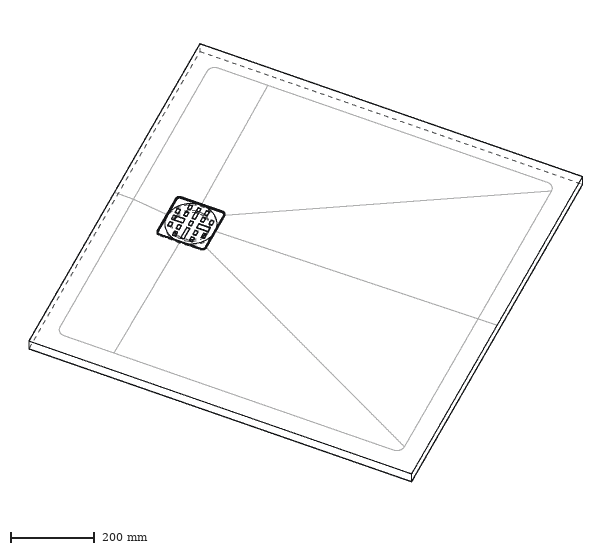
import cadquery as cq
import math

SIDE = 1000.0
HEIGHT = 30.0
HALF = SIDE / 2

RIM_WIDTH = 50.0
RIM_FALL = 1.0
FLOOR_FALL = 14.0
FLOOR_HALF = HALF - RIM_WIDTH
FLOOR_CORNER_RADIUS = 20.0
FLOOR_EDGE_Z = HEIGHT - RIM_FALL
DRAIN_EDGE_Z = FLOOR_EDGE_Z - FLOOR_FALL

DRAIN_X = -300.0
RECESS_HALF = 64.0
RECESS_CORNER_RADIUS = 10.0
GRATE_DROP = 1.0
GRATE_THICKNESS = 2.0
RECESS_DEPTH = GRATE_DROP + GRATE_THICKNESS
RECESS_FLOOR_Z = DRAIN_EDGE_Z - RECESS_DEPTH
SUMP_DIAMETER = 124.0
SUMP_DEPTH = 5.0
OUTLET_DIAMETER = 90.0

GRATE_GAP = 3.0
GRATE_SIDE = 2 * (RECESS_HALF - GRATE_GAP)
GRATE_CORNER_RADIUS = RECESS_CORNER_RADIUS - GRATE_GAP
SLOT_PITCH = 22.0
SLOT_WIDTH = 8.0
SLOT_LENGTH = 13.0


def line(start, end):
    return cq.Edge.makeLine(cq.Vector(*start), cq.Vector(*end))


def rounded_corner(center_x, half, radius, x_side, y_side, z):
    """Arc of one corner of a rounded square: its end on the X-facing side, its end on the
    Y-facing side, and the arc edge between them."""
    corner_x = center_x + x_side * half
    corner_y = y_side * half
    to_middle = radius * (1 - math.sqrt(0.5))
    on_x_side = (corner_x, corner_y - y_side * radius, z)
    middle = (corner_x - x_side * to_middle, corner_y - y_side * to_middle, z)
    on_y_side = (corner_x - x_side * radius, corner_y, z)
    arc = cq.Edge.makeThreePointArc(cq.Vector(*on_x_side), cq.Vector(*middle), cq.Vector(*on_y_side))
    return on_x_side, on_y_side, arc


def floor_corner(x_side, y_side):
    return rounded_corner(0, FLOOR_HALF, FLOOR_CORNER_RADIUS, x_side, y_side, FLOOR_EDGE_Z)


def recess_corner(x_side, y_side):
    return rounded_corner(DRAIN_X, RECESS_HALF, RECESS_CORNER_RADIUS, x_side, y_side, DRAIN_EDGE_Z)


def space_above(edges):
    """Solid that stands on one smooth patch spanned by a closed loop of edges."""
    patch = cq.Face.makeNSidedSurface(edges, [])
    return cq.Solid.extrudeLinear(patch, cq.Vector(0, 0, HEIGHT))


def rim_edges(y_side):
    """Half of the rim on one side of the X axis."""
    left_x, left_y, left_arc = floor_corner(-1, y_side)
    right_x, right_y, right_arc = floor_corner(1, y_side)
    outer = [
        (-HALF, 0, HEIGHT),
        (-HALF, y_side * HALF, HEIGHT),
        (HALF, y_side * HALF, HEIGHT),
        (HALF, 0, HEIGHT),
    ]
    left_end = (-FLOOR_HALF, 0, FLOOR_EDGE_Z)
    right_end = (FLOOR_HALF, 0, FLOOR_EDGE_Z)
    return [
        *[line(start, end) for start, end in zip(outer, outer[1:])],
        line(outer[-1], right_end),
        line(right_end, right_x),
        right_arc,
        line(right_y, left_y),
        left_arc,
        line(left_x, left_end),
        line(left_end, outer[0]),
    ]


def left_floor_edges(y_side):
    """Short floor between the left rim and the line across the tray through the drain."""
    floor_x, floor_y, floor_arc = floor_corner(-1, y_side)
    recess_x, recess_y, recess_arc = recess_corner(-1, y_side)
    floor_start = (-FLOOR_HALF, 0, FLOOR_EDGE_Z)
    floor_end = (DRAIN_X, y_side * FLOOR_HALF, FLOOR_EDGE_Z)
    recess_start = (DRAIN_X - RECESS_HALF, 0, DRAIN_EDGE_Z)
    recess_end = (DRAIN_X, y_side * RECESS_HALF, DRAIN_EDGE_Z)
    return [
        line(floor_start, floor_x),
        floor_arc,
        line(floor_y, floor_end),
        line(floor_end, recess_end),
        line(recess_end, recess_y),
        recess_arc,
        line(recess_x, recess_start),
        line(recess_start, floor_start),
    ]


def long_floor_edges(y_side):
    """Floor from the line through the drain round to the crease at the right rim."""
    floor_x, floor_y, floor_arc = floor_corner(1, y_side)
    recess_x, recess_y, recess_arc = recess_corner(1, y_side)
    floor_start = (DRAIN_X, y_side * FLOOR_HALF, FLOOR_EDGE_Z)
    recess_start = (DRAIN_X, y_side * RECESS_HALF, DRAIN_EDGE_Z)
    return [
        line(floor_start, floor_y),
        floor_arc,
        line(floor_x, recess_x),
        recess_arc,
        line(recess_y, recess_start),
        line(recess_start, floor_start),
    ]


def right_floor_edges(y_side):
    """Flat floor between the right rim and the drain."""
    floor_x, _, _ = floor_corner(1, y_side)
    recess_x, _, _ = recess_corner(1, y_side)
    floor_start = (FLOOR_HALF, 0, FLOOR_EDGE_Z)
    recess_start = (DRAIN_X + RECESS_HALF, 0, DRAIN_EDGE_Z)
    corners = [floor_start, floor_x, recess_x, recess_start, floor_start]
    return [line(start, end) for start, end in zip(corners, corners[1:])]


def rounded_plate(side, radius, bottom_z, thickness):
    return (
        cq.Workplane("XY", origin=(DRAIN_X, 0, bottom_z))
        .rect(side, side)
        .extrude(thickness)
        .edges("|Z")
        .fillet(radius)
    )


def round_hole(diameter, bottom_z):
    """Cutter at the drain centre that is open upward from its flat bottom."""
    return cq.Workplane("XY", origin=(DRAIN_X, 0, bottom_z)).circle(diameter / 2).extrude(HEIGHT)


def make_tray():
    tray = cq.Workplane("XY").box(SIDE, SIDE, HEIGHT, centered=(True, True, False))
    recess = rounded_plate(2 * RECESS_HALF, RECESS_CORNER_RADIUS, RECESS_FLOOR_Z, HEIGHT)
    sump = round_hole(SUMP_DIAMETER, RECESS_FLOOR_Z - SUMP_DEPTH)
    outlet = round_hole(OUTLET_DIAMETER, 0)
    tray = tray.cut(recess).cut(sump).cut(outlet)
    for patch_edges in (rim_edges, left_floor_edges, long_floor_edges, right_floor_edges):
        for y_side in (1, -1):
            tray = tray.cut(cq.Workplane(space_above(patch_edges(y_side))), clean=False)
    return tray


def grate_opening(columns, rows):
    """Rectangle cut through the grate, from the first to the last of the given columns and rows
    of the slot grid, which is counted from the drain centre."""
    column_span = abs(columns[1] - columns[0])
    row_span = abs(rows[1] - rows[0])
    center_x = DRAIN_X + sum(columns) / 2 * SLOT_PITCH
    center_y = sum(rows) / 2 * SLOT_PITCH
    return (
        cq.Workplane("XY", origin=(center_x, center_y, RECESS_FLOOR_Z))
        .rect(SLOT_WIDTH + column_span * SLOT_PITCH, SLOT_LENGTH + row_span * SLOT_PITCH)
        .extrude(GRATE_THICKNESS)
    )


def make_grate():
    grate = rounded_plate(GRATE_SIDE, GRATE_CORNER_RADIUS, RECESS_FLOOR_Z, GRATE_THICKNESS)
    grate = grate.cut(grate_opening((0, 0), (0, 0)))
    for side in (1, -1):
        double = (side, 2 * side)
        grate = grate.cut(grate_opening((0, 0), double))
        grate = grate.cut(grate_opening(double, (0, 0)))
    for column, row in ((1, 1), (1, 2), (2, 1)):
        for x_side in (1, -1):
            for y_side in (1, -1):
                grate = grate.cut(grate_opening((x_side * column,) * 2, (y_side * row,) * 2))
    return grate


tray = make_tray()
grate = make_grate()

result = cq.Compound.makeCompound([tray.val(), grate.val()])